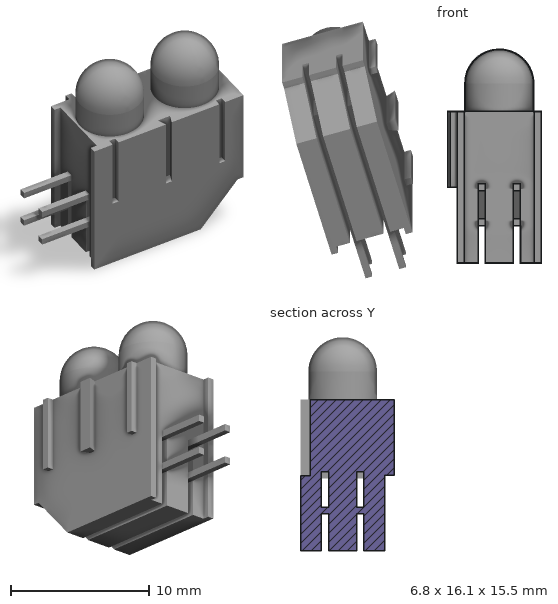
import cadquery as cq

HOUSING_WIDTH = 6.1
HOUSING_LENGTH = 12.6
HOUSING_HEIGHT = 11.0
FRONT_LIP = 0.5

REAR_LEDGE = 0.5
SLOPE_END = 3.6
LEDGE_HEIGHT = 3.35

LED_RADIUS = 2.5
LED_SPACING = 6.35
LED_BARREL_HEIGHT = 2.01

LEAD_SIZE = 0.5
LEAD_SPACING = 2.55
UPPER_LEAD_HEIGHT = 5.5
LEAD_PROJECTION = 3.5

RIB_HEIGHT = HOUSING_HEIGHT / 2
RIB_SIZE = 0.5
RIB_OFFSET = 4.5
DOVETAIL_DEPTH = 0.7
DOVETAIL_ROOT = 0.5
DOVETAIL_TIP = 1.0

left_face = -HOUSING_WIDTH / 2
front_face = -HOUSING_LENGTH / 2
rear_face = HOUSING_LENGTH / 2
near_led_y = -LED_SPACING / 2
far_led_y = LED_SPACING / 2
lead_tip_y = front_face - LEAD_PROJECTION
lead_columns = (-LEAD_SPACING / 2, LEAD_SPACING / 2)
lower_lead_height = UPPER_LEAD_HEIGHT - LEAD_SPACING
slot_height = UPPER_LEAD_HEIGHT + LEAD_SIZE / 2


def box_between(x_range, y_range, z_range):
    """Box spanning the given (low, high) range along each axis."""
    size = [high - low for low, high in (x_range, y_range, z_range)]
    corner = (x_range[0], y_range[0], z_range[0])
    return cq.Workplane("XY").box(*size, centered=False).translate(corner)


def make_housing():
    side_profile = [
        (front_face, 0),
        (rear_face - SLOPE_END, 0),
        (rear_face - REAR_LEDGE, LEDGE_HEIGHT),
        (rear_face, LEDGE_HEIGHT),
        (rear_face, HOUSING_HEIGHT),
        (front_face, HOUSING_HEIGHT),
    ]
    block = cq.Workplane("YZ").polyline(side_profile).close().extrude(HOUSING_WIDTH / 2, both=True)
    recess_half_width = HOUSING_WIDTH / 2 - FRONT_LIP
    front_recess = box_between(
        (-recess_half_width, recess_half_width),
        (front_face, front_face + FRONT_LIP),
        (0, HOUSING_HEIGHT),
    )
    return block.cut(front_recess)


def make_lead_slot(x):
    """Slot open at the base, running from front to rear under the upper lead's top."""
    return box_between(
        (x - LEAD_SIZE / 2, x + LEAD_SIZE / 2),
        (front_face, rear_face),
        (0, slot_height),
    )


def make_lead(x, height, led_y):
    """Horizontal pin that runs back under its LED and turns up into it."""
    half = LEAD_SIZE / 2
    x_range = (x - half, x + half)
    pin = box_between(x_range, (lead_tip_y, led_y + half), (height - half, height + half))
    riser = box_between(x_range, (led_y - half, led_y + half), (height - half, HOUSING_HEIGHT))
    return pin.union(riser)


def make_led(y):
    barrel_top = HOUSING_HEIGHT + LED_BARREL_HEIGHT
    half_profile = (
        cq.Workplane("XZ")
        .moveTo(0, HOUSING_HEIGHT)
        .lineTo(LED_RADIUS, HOUSING_HEIGHT)
        .lineTo(LED_RADIUS, barrel_top)
        .radiusArc((0, barrel_top + LED_RADIUS), -LED_RADIUS)
        .close()
    )
    return half_profile.revolve(360, (0, 0, 0), (0, 1, 0)).translate((0, y, 0))


def make_ribs():
    """Dovetail and two square ribs hanging from the top edge of the -X side."""
    rib_base = HOUSING_HEIGHT - RIB_HEIGHT
    dovetail_outline = [
        (left_face, -DOVETAIL_ROOT / 2),
        (left_face, DOVETAIL_ROOT / 2),
        (left_face - DOVETAIL_DEPTH, DOVETAIL_TIP / 2),
        (left_face - DOVETAIL_DEPTH, -DOVETAIL_TIP / 2),
    ]
    ribs = (
        cq.Workplane("XY", origin=(0, 0, rib_base))
        .polyline(dovetail_outline)
        .close()
        .extrude(RIB_HEIGHT)
    )
    for y in (-RIB_OFFSET, RIB_OFFSET):
        square_rib = box_between(
            (left_face - RIB_SIZE, left_face),
            (y - RIB_SIZE / 2, y + RIB_SIZE / 2),
            (rib_base, HOUSING_HEIGHT),
        )
        ribs = ribs.union(square_rib)
    return ribs


ribs = make_ribs()
grooves = ribs.translate((HOUSING_WIDTH, 0, 0))
result = make_housing().union(ribs).cut(grooves)

for x in lead_columns:
    result = result.cut(make_lead_slot(x))
for x in lead_columns:
    result = result.union(make_lead(x, UPPER_LEAD_HEIGHT, near_led_y))
    result = result.union(make_lead(x, lower_lead_height, far_led_y))
for y in (near_led_y, far_led_y):
    result = result.union(make_led(y))